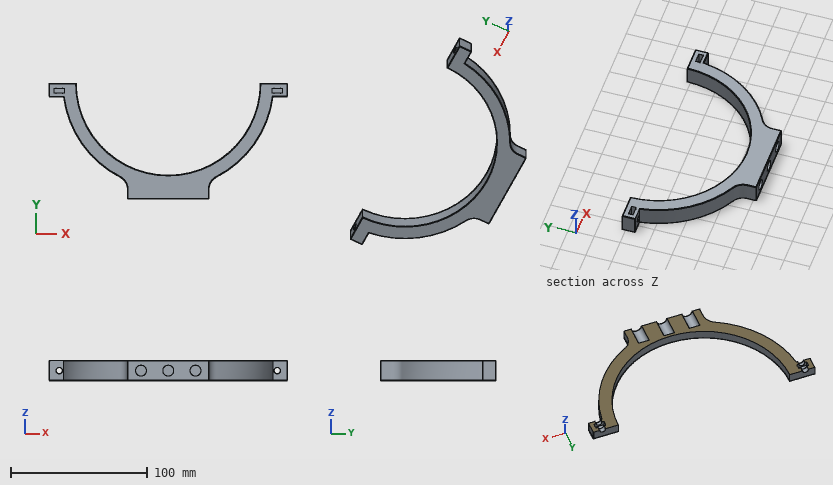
import cadquery as cq
import math

total_width = 175.0
thickness = 15.0
inner_radius = 67.5
outer_radius = 77.5
edge_chamfer = 0.5
position_tolerance = 0.01

foot_width = 60.0
foot_reach = 85.0
blend_radius = 10.0
foot_hole_diameter = 8.0
foot_hole_depth = 15.0
foot_hole_pitch = 20.0

ear_depth = 10.0
ear_hole_diameter = 4.5
ear_hole_spacing = 160.0

nut_pocket_width = 7.5
nut_pocket_length = 3.5
nut_pocket_depth = 11.0
nut_pocket_setback = 5.5

half_width = total_width / 2
half_foot = foot_width / 2
ear_corner_x = math.sqrt(outer_radius**2 - ear_depth**2)
mid_height = thickness / 2
ear_hole_positions = (-ear_hole_spacing / 2, ear_hole_spacing / 2)
foot_hole_positions = (-foot_hole_pitch, 0, foot_hole_pitch)


def make_body():
    """Extruded outline of ring, ears and foot, with sharp edges."""
    centre_distance = outer_radius + blend_radius
    blend_x = half_foot + blend_radius
    blend_y = -math.sqrt(centre_distance**2 - blend_x**2)
    touch_x = blend_x * outer_radius / centre_distance
    touch_y = blend_y * outer_radius / centre_distance

    ear_angle = math.atan2(-ear_depth, ear_corner_x)
    touch_angle = math.atan2(touch_y, touch_x)
    arc_angle = (ear_angle + touch_angle) / 2
    arc_x = outer_radius * math.cos(arc_angle)
    arc_y = outer_radius * math.sin(arc_angle)

    blend_angle = touch_angle / 2 + math.pi
    blend_mid_x = blend_x + blend_radius * math.cos(blend_angle)
    blend_mid_y = blend_y + blend_radius * math.sin(blend_angle)

    outline = (
        cq.Workplane("XY")
        .moveTo(inner_radius, 0)
        .lineTo(half_width, 0)
        .lineTo(half_width, -ear_depth)
        .lineTo(ear_corner_x, -ear_depth)
        .threePointArc((arc_x, arc_y), (touch_x, touch_y))
        .threePointArc((blend_mid_x, blend_mid_y), (half_foot, blend_y))
        .lineTo(half_foot, -foot_reach)
        .lineTo(-half_foot, -foot_reach)
        .lineTo(-half_foot, blend_y)
        .threePointArc((-blend_mid_x, blend_mid_y), (-touch_x, touch_y))
        .threePointArc((-arc_x, arc_y), (-ear_corner_x, -ear_depth))
        .lineTo(-half_width, -ear_depth)
        .lineTo(-half_width, 0)
        .lineTo(-inner_radius, 0)
        .threePointArc((0, -inner_radius), (inner_radius, 0))
        .close()
    )
    return outline.extrude(thickness)


def lies_at(edge, x, y):
    """True when the edge's bounding box is centred on (x, y)."""
    centre = edge.BoundingBox().center
    return math.hypot(centre.x - x, centre.y - y) < position_tolerance


def break_edges(body):
    """Chamfer the ear and foot corners and the rims of both flat faces.

    The top front edge and the back corner of the -X ear are left sharp.
    """
    corners = [(half_width, 0)]
    for side in (-1, 1):
        corners.append((side * half_width, -ear_depth))
        corners.append((side * half_foot, -foot_reach))
    corner_edges = [
        edge
        for edge in body.edges("|Z").vals()
        if any(lies_at(edge, x, y) for x, y in corners)
    ]

    sharp_edge_x = -(half_width + ear_corner_x) / 2
    top_edges = [
        edge
        for edge in body.faces(">Z").edges().vals()
        if not lies_at(edge, sharp_edge_x, -ear_depth)
    ]
    bottom_edges = body.faces("<Z").edges().vals()
    return body.newObject(corner_edges + top_edges + bottom_edges).chamfer(edge_chamfer)


def hole_along_y(x, y_start, diameter, depth):
    """Cylinder at mid thickness, running from y_start toward +Y."""
    start = cq.Vector(x, y_start, mid_height)
    return cq.Solid.makeCylinder(diameter / 2, depth, start, cq.Vector(0, 1, 0))


def nut_pocket(x):
    """Rectangular pocket open on the top face."""
    return (
        cq.Workplane("XY", origin=(x, -nut_pocket_setback, thickness - nut_pocket_depth))
        .rect(nut_pocket_width, nut_pocket_length)
        .extrude(nut_pocket_depth)
    )


result = break_edges(make_body())

for hole_x in foot_hole_positions:
    result = result.cut(hole_along_y(hole_x, -foot_reach, foot_hole_diameter, foot_hole_depth))

for ear_x in ear_hole_positions:
    result = result.cut(hole_along_y(ear_x, -ear_depth, ear_hole_diameter, ear_depth))
    result = result.cut(nut_pocket(ear_x))